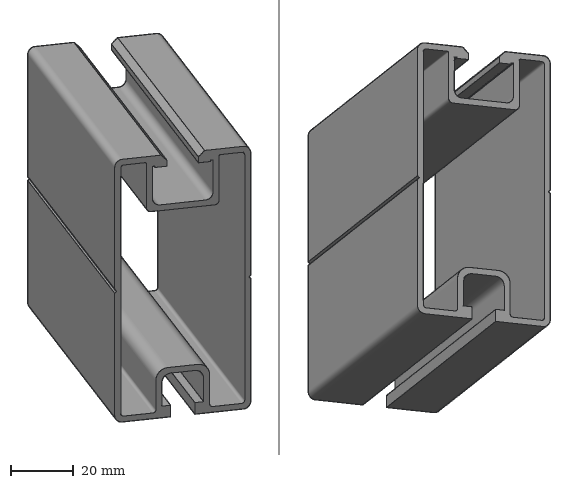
import cadquery as cq

length = 100
width = 45
height = 90
wall = 2
outer_radius = 2.5
cavity_radius = 1

upper_width = 20
upper_depth = 17
upper_opening = 10.4
upper_inner_radius = 2.5
upper_outer_radius = 1.5
upper_root_radius = 0.5
upper_lip_chamfer = 2
relief_width = 0.8
relief_depth = 0.4

lower_width = 13.8
lower_depth = 15
lower_opening = 8
lower_inner_radius = 3
lower_outer_radius = 4
lower_root_radius = cavity_radius

lip = 4

groove_width = 1.2
groove_depth = 0.6

top = height / 2
bottom = -height / 2


def bar(bar_width, z_low, z_high, y_center=0):
    """Full-length rectangular bar between two heights."""
    bar_height = z_high - z_low
    return cq.Workplane("XY").box(length, bar_width, bar_height).translate(
        (0, y_center, (z_low + z_high) / 2)
    )


def prism(points):
    """Full-length prism from a closed (Y, Z) outline."""
    return cq.Workplane("YZ").polyline(points).close().extrude(length / 2, both=True)


def hollow_box():
    outside = bar(width, bottom, top).edges("|X").fillet(outer_radius)
    cavity = bar(width - 2 * wall, bottom + wall, top - wall).edges("|X").fillet(cavity_radius)
    return outside.cut(cavity)


def fillet_roots(body, channel_width, root_height, radius):
    """Round the corners between a channel's sides and the box wall it joins."""
    for side in (-1, 1):
        root_edge = cq.selectors.NearestToPointSelector((0, side * channel_width / 2, root_height))
        body = body.edges(root_edge).fillet(radius)
    return body


def add_upper_channel(body):
    floor = top - upper_depth
    outer_width = upper_width + 2 * wall
    shell = bar(outer_width, floor - wall, top)
    shell = shell.edges("|X and <Z").fillet(upper_outer_radius)
    inside = bar(upper_width, floor, top - lip)
    inside = inside.edges("|X and <Z").fillet(upper_inner_radius)
    opening = bar(upper_opening, floor + upper_inner_radius, top)
    half_opening = upper_opening / 2
    half_mouth = half_opening + upper_lip_chamfer
    mouth = prism([
        (-half_mouth, top),
        (half_mouth, top),
        (half_opening, top - upper_lip_chamfer),
        (-half_opening, top - upper_lip_chamfer),
    ])
    body = body.union(shell)
    body = fillet_roots(body, outer_width, top - wall, upper_root_radius)
    body = body.cut(inside).cut(opening).cut(mouth)
    for side in (-1, 1):
        relief_center = side * (upper_width - relief_width) / 2
        body = body.cut(bar(relief_width, top - lip, top - lip + relief_depth, relief_center))
    return body


def add_lower_channel(body):
    ceiling = bottom + lower_depth
    outer_width = lower_width + 2 * wall
    shell = bar(outer_width, bottom, ceiling + wall)
    shell = shell.edges("|X and >Z").fillet(lower_outer_radius)
    body = body.union(shell)
    body = fillet_roots(body, outer_width, bottom + wall, lower_root_radius)
    inside = bar(lower_width, bottom + lip, ceiling)
    inside = inside.edges("|X and >Z").fillet(lower_inner_radius)
    opening = bar(lower_opening, bottom, bottom + lip)
    return body.cut(inside).cut(opening)


def cut_side_grooves(body):
    for side in (-1, 1):
        face = side * width / 2
        body = body.cut(prism([
            (face, groove_width / 2),
            (face, -groove_width / 2),
            (face - side * groove_depth, 0),
        ]))
    return body


profile = hollow_box()
profile = add_lower_channel(profile)
profile = add_upper_channel(profile)
result = cut_side_grooves(profile)